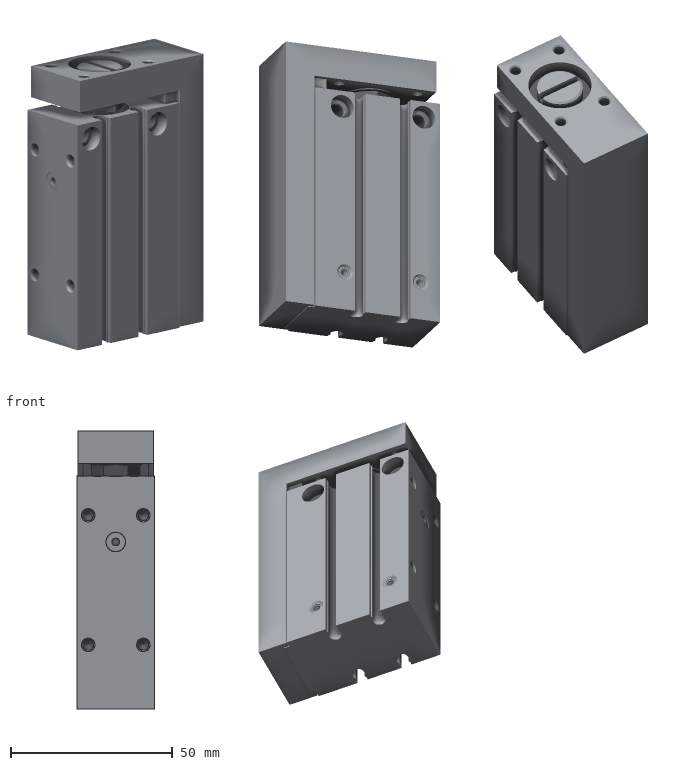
import cadquery as cq
import math


TOTAL_HEIGHT = 86.0
TOTAL_DEPTH = 51.0
TABLE_WIDTH = 23.5
TABLE_FRONT_Y = 1.2
TABLE_LEG_Y = 41.5
TABLE_PLATE_Z = 75.9
TABLE_FOOT_Z = 0.3
STUD_BORE_DIAMETER = 19.5
STUD_BORE_DEPTH = 4.7
TABLE_HOLE_X = 8.0
TABLE_HOLE_Y = (6.1, 32.0)

HOUSING_WIDTH = 24.0
HOUSING_DEPTH = 41.2
HOUSING_HEIGHT = 72.1

RAIL_WIDTH = 20.4
RAIL_FRONT_Y = 37.0
RAIL_BACK_Y = 43.0

ROD_Y = 19.0
STUD_DIAMETER = 14.2
STUD_TOP_Z = 85.4
STUD_CHAMFER_HEIGHT = 0.4
STUD_CHAMFER_WIDTH = 0.7
STUD_SLOT_WIDTH = 2.1
STUD_SLOT_DEPTH = 2.8
FLANGE_DIAMETER = 16.0
FLANGE_THICKNESS = 0.35
HEX_ACROSS_FLATS = 13.0
HEX_BOTTOM_Z = 71.9
HEX_CORNER_BEVEL = 0.35
ROD_DIAMETER = 8.0
BORE_DIAMETER = 18.3
BORE_DEPTH = 13.8

SLOT_Y = (11.5, 26.4)
SLOT_NECK_WIDTH = 3.0
SLOT_CHANNEL_DIAMETER = 4.0
SLOT_CHANNEL_INSET = 3.3
SLOT_MOUTH_WIDTH = 3.5
SLOT_MOUTH_DEPTH = 1.3

THREAD_DIAMETER = 3.3
THREAD_MOUTH_DIAMETER = 4.1
FRONT_HOLE_DEPTH = 6.0
FRONT_HOLE_X = 8.5
FRONT_HOLE_Z = (19.9, 59.9)
DRILL_POINT_ANGLE = 118.0

MOUNT_HOLE_Y = (5.4, 32.4)
MOUNT_HOLE_Z = 66.9
MOUNT_HOLE_DIAMETER = 4.3
MOUNT_MOUTH_DIAMETER = 5.0
COUNTERBORE_DIAMETER = 7.5
COUNTERBORE_DEPTH = 4.3

PORT_Y = (6.5, 31.5)
PORT_Z = 12.4
PORT_MOUTH_DIAMETER = 5.0
PORT_PLUG_DIAMETER = 4.0
PORT_DEPTH = 3.4
PORT_PLUG_RECESS_DIAMETER = 3.3
PORT_PLUG_RECESS_DEPTH = 0.3
PORT_PLUG_HOLE_DIAMETER = 2.3
PORT_PLUG_HOLE_DEPTH = 0.7

FRONT_PLUG_Z = 51.7
FRONT_PLUG_DIAMETER = 6.0
FRONT_PLUG_DEPTH = 2.6
FRONT_PLUG_RECESS = 0.2
FRONT_PLUG_HOLE_DIAMETER = 2.3
FRONT_PLUG_HOLE_DEPTH = 1.7

INTO_FRONT = cq.Vector(0, 1, 0)
INTO_LEFT = cq.Vector(1, 0, 0)
UP = cq.Vector(0, 0, 1)
DOWN = cq.Vector(0, 0, -1)

SIDE_X = HOUSING_WIDTH / 2


def box(width, y_range, z_range):
    """Block centred on X = 0 between two Y and two Z values."""
    y_low, y_high = y_range
    z_low, z_high = z_range
    block = cq.Workplane("XY").box(width, y_high - y_low, z_high - z_low, centered=(True, False, False))
    return block.translate((0, y_low, z_low))


def cylinder(diameter, length, start, direction):
    return cq.Workplane(cq.Solid.makeCylinder(diameter / 2, length, cq.Vector(*start), direction))


def cone(diameter, end_diameter, length, start, direction):
    return cq.Workplane(
        cq.Solid.makeCone(diameter / 2, end_diameter / 2, length, cq.Vector(*start), direction)
    )


def mouth_chamfer(mouth_diameter, hole_diameter, start, direction):
    """45-degree countersink that narrows from the mouth to the hole."""
    return cone(mouth_diameter, hole_diameter, (mouth_diameter - hole_diameter) / 2, start, direction)


def drilled_hole(diameter, depth, start, direction):
    """Blind hole with a conical drill point."""
    point_length = diameter / 2 / math.tan(math.radians(DRILL_POINT_ANGLE / 2))
    bottom = cq.Vector(*start) + direction * depth
    hole = cylinder(diameter, depth, start, direction)
    return hole.union(cone(diameter, 0, point_length, bottom.toTuple(), direction))


def make_rail():
    return box(RAIL_WIDTH, (RAIL_FRONT_Y, RAIL_BACK_Y), (0, TABLE_PLATE_Z))


def make_table(rail):
    table = box(TABLE_WIDTH, (TABLE_FRONT_Y, TOTAL_DEPTH), (TABLE_PLATE_Z, TOTAL_HEIGHT))
    table = table.union(box(TABLE_WIDTH, (TABLE_LEG_Y, TOTAL_DEPTH), (TABLE_FOOT_Z, TABLE_PLATE_Z)))
    table = table.cut(rail)

    rod_top = (0, ROD_Y, TOTAL_HEIGHT)
    table = table.cut(cylinder(STUD_BORE_DIAMETER, STUD_BORE_DEPTH, rod_top, DOWN))
    table = table.cut(cylinder(STUD_DIAMETER, TOTAL_HEIGHT - TABLE_PLATE_Z, rod_top, DOWN))

    for x in (-TABLE_HOLE_X, TABLE_HOLE_X):
        for y in TABLE_HOLE_Y:
            mouth = (x, y, TOTAL_HEIGHT)
            table = table.cut(cylinder(THREAD_DIAMETER, TOTAL_HEIGHT - TABLE_PLATE_Z, mouth, DOWN))
            table = table.cut(mouth_chamfer(THREAD_MOUTH_DIAMETER, THREAD_DIAMETER, mouth, DOWN))
    return table


def sensor_slot(side, y):
    """Slot over the full height of one side face: mouth, narrower neck and round channel."""
    slot = cylinder(SLOT_CHANNEL_DIAMETER, HOUSING_HEIGHT, (0, 0, 0), UP)
    for width, floor_x in (
        (SLOT_NECK_WIDTH, 0),
        (SLOT_MOUTH_WIDTH, SLOT_CHANNEL_INSET - SLOT_MOUTH_DEPTH),
    ):
        opening = cq.Workplane("XY").box(
            SLOT_CHANNEL_INSET - floor_x, width, HOUSING_HEIGHT, centered=(False, True, False)
        )
        slot = slot.union(opening.translate((floor_x, 0, 0)))
    slot = slot.translate((SIDE_X - SLOT_CHANNEL_INSET, y, 0))
    return slot if side > 0 else slot.mirror("YZ")


def mounting_hole(y):
    """Hole across the full width, counterbored on both sides."""
    hole = cylinder(MOUNT_HOLE_DIAMETER, HOUSING_WIDTH, (-SIDE_X, y, MOUNT_HOLE_Z), INTO_LEFT)
    for side in (-1, 1):
        inward = INTO_LEFT * -side
        floor_x = side * (SIDE_X - COUNTERBORE_DEPTH)
        floor = (floor_x, y, MOUNT_HOLE_Z)
        hole = hole.union(
            cylinder(COUNTERBORE_DIAMETER, COUNTERBORE_DEPTH, (side * SIDE_X, y, MOUNT_HOLE_Z), inward)
        )
        hole = hole.union(mouth_chamfer(MOUNT_MOUTH_DIAMETER, MOUNT_HOLE_DIAMETER, floor, inward))
    return hole


def make_housing(rail):
    housing = box(HOUSING_WIDTH, (0, HOUSING_DEPTH), (0, HOUSING_HEIGHT)).cut(rail)
    housing = housing.cut(cylinder(BORE_DIAMETER, BORE_DEPTH, (0, ROD_Y, HOUSING_HEIGHT), DOWN))
    for y in SLOT_Y:
        for side in (-1, 1):
            housing = housing.cut(sensor_slot(side, y))
    for y in MOUNT_HOLE_Y:
        housing = housing.cut(mounting_hole(y))
    for x in (-FRONT_HOLE_X, FRONT_HOLE_X):
        for z in FRONT_HOLE_Z:
            mouth = (x, 0, z)
            housing = housing.cut(drilled_hole(THREAD_DIAMETER, FRONT_HOLE_DEPTH, mouth, INTO_FRONT))
            housing = housing.cut(mouth_chamfer(THREAD_MOUTH_DIAMETER, THREAD_DIAMETER, mouth, INTO_FRONT))

    housing = housing.cut(
        cylinder(FRONT_PLUG_DIAMETER, FRONT_PLUG_DEPTH, (0, 0, FRONT_PLUG_Z), INTO_FRONT)
    )
    for y in PORT_Y:
        mouth = (-SIDE_X, y, PORT_Z)
        housing = housing.cut(cylinder(PORT_PLUG_DIAMETER, PORT_DEPTH, mouth, INTO_LEFT))
        housing = housing.cut(mouth_chamfer(PORT_MOUTH_DIAMETER, PORT_PLUG_DIAMETER, mouth, INTO_LEFT))
    return housing


def make_stud():
    """Slotted stud that fills the plate bore, with a thin flange under the plate."""
    stud = cylinder(STUD_DIAMETER, STUD_TOP_Z - TABLE_PLATE_Z, (0, ROD_Y, STUD_TOP_Z), DOWN)
    stud = stud.faces(">Z").chamfer(STUD_CHAMFER_HEIGHT, STUD_CHAMFER_WIDTH)
    stud = stud.union(cylinder(FLANGE_DIAMETER, FLANGE_THICKNESS, (0, ROD_Y, TABLE_PLATE_Z), DOWN))
    slot_y_range = (ROD_Y - STUD_SLOT_WIDTH / 2, ROD_Y + STUD_SLOT_WIDTH / 2)
    return stud.cut(box(STUD_DIAMETER, slot_y_range, (STUD_TOP_Z - STUD_SLOT_DEPTH, STUD_TOP_Z)))


def make_piston_rod():
    """Round rod that stands in the housing bore, with a bevelled hexagon head under the stud."""
    height = TABLE_PLATE_Z - FLANGE_THICKNESS - HEX_BOTTOM_Z
    corner_radius = HEX_ACROSS_FLATS / 2 / math.cos(math.radians(30))
    bevel_width = corner_radius - HEX_ACROSS_FLATS / 2
    hexagon = cq.Workplane("XY").polygon(6, 2 * corner_radius).extrude(height)
    envelope = cq.Workplane("XY").circle(corner_radius).extrude(height)
    envelope = envelope.faces(">Z or <Z").chamfer(HEX_CORNER_BEVEL, bevel_width)
    head = hexagon.intersect(envelope).translate((0, ROD_Y, HEX_BOTTOM_Z))
    rod_length = HEX_BOTTOM_Z - (HOUSING_HEIGHT - BORE_DEPTH)
    return head.union(cylinder(ROD_DIAMETER, rod_length, (0, ROD_Y, HEX_BOTTOM_Z), DOWN))


def make_front_plug():
    """Plug seated slightly below the front face, with a blind hole in its centre."""
    mouth = (0, FRONT_PLUG_RECESS, FRONT_PLUG_Z)
    plug = cylinder(FRONT_PLUG_DIAMETER, FRONT_PLUG_DEPTH - FRONT_PLUG_RECESS, mouth, INTO_FRONT)
    return plug.cut(cylinder(FRONT_PLUG_HOLE_DIAMETER, FRONT_PLUG_HOLE_DEPTH, mouth, INTO_FRONT))


def make_port_plug(y):
    """Plug seated below the chamfer of its port, with a stepped blind hole."""
    seat_x = -SIDE_X + (PORT_MOUTH_DIAMETER - PORT_PLUG_DIAMETER) / 2
    mouth = (seat_x, y, PORT_Z)
    plug = cylinder(PORT_PLUG_DIAMETER, PORT_DEPTH - SIDE_X - seat_x, mouth, INTO_LEFT)
    plug = plug.cut(cylinder(PORT_PLUG_RECESS_DIAMETER, PORT_PLUG_RECESS_DEPTH, mouth, INTO_LEFT))
    return plug.cut(drilled_hole(PORT_PLUG_HOLE_DIAMETER, PORT_PLUG_HOLE_DEPTH, mouth, INTO_LEFT))


rail = make_rail()
table = make_table(rail)
housing = make_housing(rail)
stud = make_stud()
piston_rod = make_piston_rod()
front_plug = make_front_plug()
port_plugs = [make_port_plug(y) for y in PORT_Y]

result = cq.Compound.makeCompound(
    [
        rail.val(),
        table.val(),
        housing.val(),
        stud.val(),
        piston_rod.val(),
        front_plug.val(),
        *[plug.val() for plug in port_plugs],
    ]
)